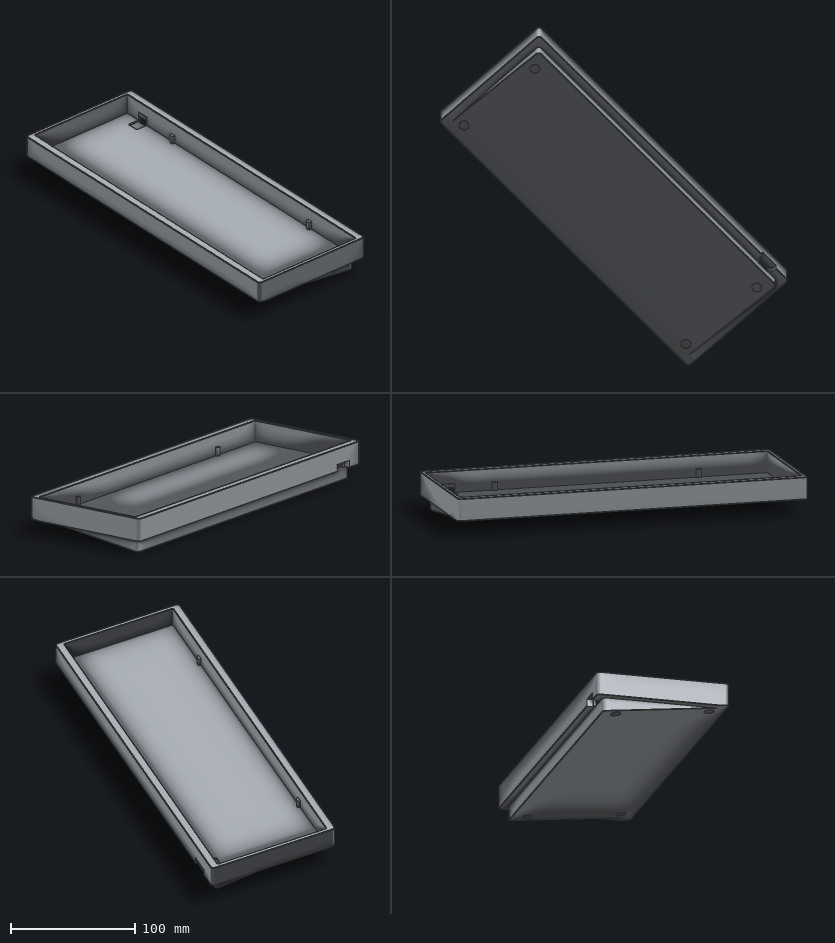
import cadquery as cq

body_width = 293.7
body_depth = 110.7
body_height = 19.4
overall_height = 30.82
body_corner_radius = 3.0
edge_chamfer = 0.5

side_wall = 3.5
end_wall = 6.9
cavity_corner_radius = 1.0
floor_thickness = 1.5

stand_inset = 6.7
stand_corner_radius = 3.0
slope_start = 8.3

post_width = 4.6
back_post_reach = 2.5
front_post_reach = 2.0
post_height = 7.0
post_corner_radius = 1.8
back_post_spacing = 171.5
front_post_spacing = 185.5

port_from_left = 22.5
pocket_width = 10.6
pocket_length = 10.5
pocket_corner_radius = 1.5
recess_rise = 7.4
recess_depth = 0.5
slot_height = 5.4
port_web = 1.5
plug_width = 16.0
plug_height = 6.0

foot_diameter = 8.0
foot_recess_depth = 0.5
foot_inset_x = 16.0
foot_inset_front = 12.5
foot_inset_back = 20.0

front_y = -body_depth / 2
back_y = body_depth / 2
left_x = -body_width / 2
cavity_width = body_width - 2 * side_wall
cavity_depth = body_depth - 2 * end_wall
cavity_front_y = front_y + end_wall
cavity_back_y = back_y - end_wall
stand_width = body_width - 2 * stand_inset
stand_depth = body_depth - 2 * stand_inset
stand_back_y = back_y - stand_inset
slope_start_y = front_y + slope_start
stand_height = overall_height - body_height
slope = stand_height / (stand_back_y - edge_chamfer - slope_start_y)


def slope_z(y):
    """Height of the sloped underside at a given Y."""
    return (slope_start_y - y) * slope


def rounded_block(width, depth, bottom, top, radius):
    """Upright block centred on the Z axis with rounded vertical edges."""
    block = cq.Workplane("XY").workplane(offset=bottom).rect(width, depth).extrude(top - bottom)
    return block.edges("|Z").fillet(radius)


def above_slope():
    """Everything above the sloped underside, as wide and deep as the tray."""
    return (
        cq.Workplane("YZ")
        .polyline([
            (front_y, slope_z(front_y)),
            (front_y, body_height),
            (back_y, body_height),
            (back_y, slope_z(back_y)),
        ])
        .close()
        .extrude(body_width / 2, both=True)
    )


def sloped_block(width, depth, top, radius):
    """Rounded block whose underside is the slope, chamfered along its lower rim."""
    block = rounded_block(width, depth, -overall_height, top, radius)
    return block.intersect(above_slope()).faces("<Z").edges().chamfer(edge_chamfer)


def make_body():
    flat_body = rounded_block(body_width, body_depth, 0, body_height, body_corner_radius)
    flat_body = flat_body.faces("<Z").edges().chamfer(edge_chamfer)
    body = flat_body.intersect(sloped_block(body_width, body_depth, body_height, body_corner_radius))
    cavity = rounded_block(
        cavity_width, cavity_depth, floor_thickness, body_height, cavity_corner_radius
    )
    return body.cut(cavity).faces(">Z").edges().chamfer(edge_chamfer)


def make_stand():
    return sloped_block(stand_width, stand_depth, floor_thickness, stand_corner_radius)


def make_posts(wall_y, reach, spacing):
    """Pair of posts on the floor whose rounded fronts stand out from a wall.

    Each post is centred on the wall face, so its back half sinks into the wall.
    """
    posts = cq.Workplane("XY")
    post = (
        cq.Workplane("XY")
        .rect(post_width, 2 * reach)
        .extrude(post_height)
        .edges("|Z")
        .fillet(post_corner_radius)
    )
    for x in (-spacing / 2, spacing / 2):
        posts = posts.union(post.translate((x, wall_y, floor_thickness)))
    return posts


def port_box(width, y_start, y_end, z_bottom, z_top):
    """Box centred on the port's X position."""
    return (
        cq.Workplane("XY")
        .box(width, y_end - y_start, z_top - z_bottom, centered=(True, False, False))
        .translate((left_x + port_from_left, y_start, z_bottom))
    )


def make_port_cut():
    recess_y = cavity_back_y + recess_depth
    web_y = recess_y + port_web
    pocket = port_box(
        pocket_width, cavity_back_y - pocket_length, recess_y, 0, floor_thickness + recess_rise
    )
    pocket = pocket.edges("|Z and <Y").fillet(pocket_corner_radius)
    slot = port_box(pocket_width, recess_y, web_y, 0, slot_height)
    plug = port_box(plug_width, web_y, back_y, 0, plug_height)
    return pocket.union(slot).union(plug)


def make_foot_recess(x, y):
    start = cq.Vector(x, y, slope_z(y))
    axis = cq.Vector(0, slope, 1)
    return cq.Workplane(cq.Solid.makeCylinder(foot_diameter / 2, foot_recess_depth, start, axis))


result = make_body().union(make_stand())
result = result.union(make_posts(cavity_back_y, back_post_reach, back_post_spacing))
result = result.union(make_posts(cavity_front_y, front_post_reach, front_post_spacing))
result = result.cut(make_port_cut())
for foot_x in (left_x + foot_inset_x, -left_x - foot_inset_x):
    for foot_y in (front_y + foot_inset_front, back_y - foot_inset_back):
        result = result.cut(make_foot_recess(foot_x, foot_y))